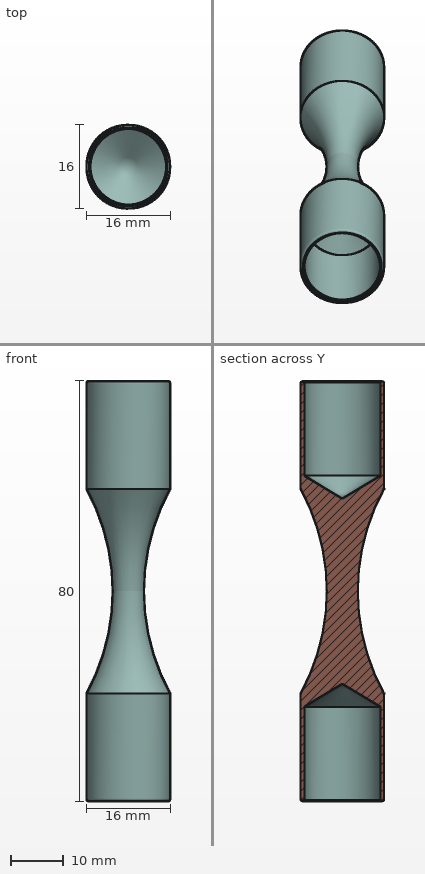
import cadquery as cq
import math

total_length = 79.99
outer_radius = 8.0
waist_radius = 3.0
neck_half_length = 19.5
rim_round = 0.5
bore_chamfer = 0.3
bore_depth = 18.0
tip_angle = 118.0

half_length = total_length / 2
ridge_radius = outer_radius - rim_round
bore_radius = ridge_radius - bore_chamfer
bore_floor = half_length - bore_depth
bore_tip = bore_floor - bore_radius / math.tan(math.radians(tip_angle / 2))

flare = outer_radius - waist_radius
neck_arc_radius = (neck_half_length**2 + flare**2) / (2 * flare)
neck_arc_angle = math.asin(neck_half_length / neck_arc_radius)
neck_mid_radius = waist_radius + neck_arc_radius * (1 - math.cos(neck_arc_angle / 2))
neck_mid_height = neck_arc_radius * math.sin(neck_arc_angle / 2)


def make_half():
    """Upper half: flared neck, thin sleeve with a ridged rim, blind bore with a drilled tip."""
    profile = (
        cq.Workplane("XZ")
        .lineTo(waist_radius, 0)
        .threePointArc((neck_mid_radius, neck_mid_height), (outer_radius, neck_half_length))
        .lineTo(outer_radius, half_length - rim_round)
        .radiusArc((ridge_radius, half_length), -rim_round)
        .lineTo(bore_radius, half_length - bore_chamfer)
        .lineTo(bore_radius, bore_floor)
        .lineTo(0, bore_tip)
        .close()
    )
    return profile.revolve(360, (0, 0, 0), (0, 1, 0))


upper_half = make_half()
lower_half = upper_half.rotate((0, 0, 0), (1, 0, 0), 180)
result = upper_half.union(lower_half)